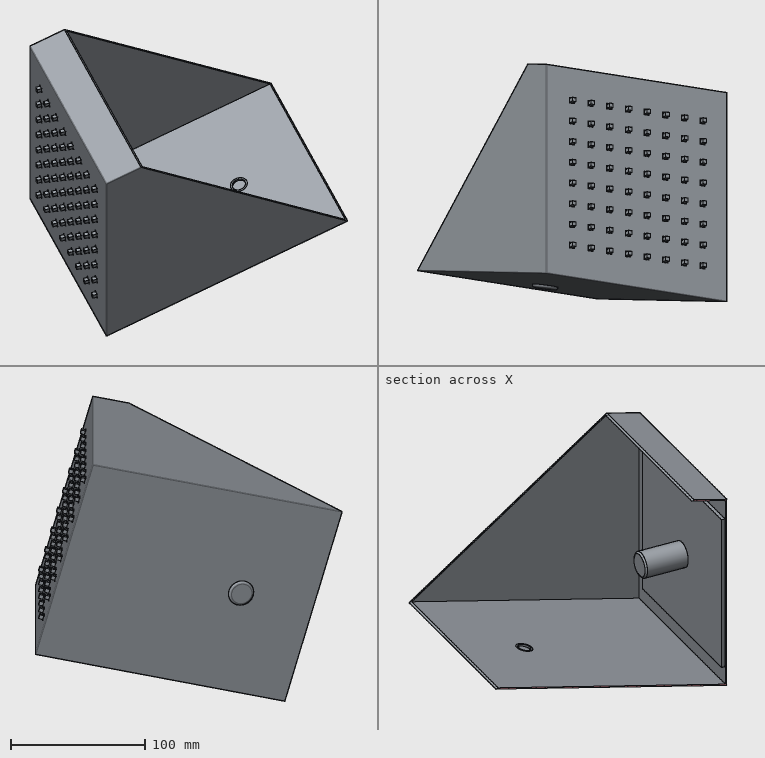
import cadquery as cq
import math

width = 155.0
height = 169.0
overall_depth = 196.5
wall = 1.47
edge_radius = 0.4
nozzle_length = 3.1
housing_depth = overall_depth - nozzle_length
floor_drop = 50.0
roof_depth = 27.7
floor_slope = floor_drop / housing_depth
slope_stretch = math.hypot(1, floor_slope)
corner_loss = edge_radius * (floor_slope + slope_stretch - 1)
apex_height = height + corner_loss
front_height = apex_height - roof_depth * floor_slope
sheared_depth = housing_depth + height

nozzle_count = 8
nozzle_pitch = 16.01
nozzle_hole_side = 4.1
nozzle_clearance = 0.55
nozzle_side = nozzle_hole_side - 2 * nozzle_clearance
head_centre_x = 0.5
head_centre_z = 81.0
head_side = nozzle_count * nozzle_pitch
head_thickness = 3.0
pipe_x = 1.0
pipe_diameter = 20.8
pipe_end = 39.9
pipe_chamfer = 1.4

plug_y = 137.2
plug_diameter = 13.0
bore_diameter = 10.2
cap_diameter = 19.3
cap_thickness = 2.2
cap_fillet = 1.8


def sheared_box(inset, half_width):
    """Box sheared along the floor slope, one inset in from the floor, front and roof planes."""
    vertical_inset = inset * slope_stretch

    def sloped_edge(front_z):
        return [(y, front_z + y * floor_slope) for y in (inset, sheared_depth)]

    floor_edge = sloped_edge(vertical_inset)
    roof_edge = sloped_edge(front_height - vertical_inset)
    return (
        cq.Workplane("YZ")
        .polyline(floor_edge + roof_edge[::-1])
        .close()
        .extrude(half_width, both=True)
    )


def slanted_cut():
    """Everything behind the plane from the rear edge of the floor to the rear edge of the roof."""
    return (
        cq.Workplane("YZ")
        .polyline([
            (housing_depth, floor_drop),
            (roof_depth, apex_height),
            (roof_depth, 2 * height),
            (2 * sheared_depth, 2 * height),
            (2 * sheared_depth, floor_drop),
        ])
        .close()
        .extrude(width, both=True)
    )


def floor_disc(diameter, thickness):
    """Disc on the underside of the floor; positive thickness goes down, negative into the floor."""
    underside = cq.Plane(
        origin=(0, plug_y, plug_y * floor_slope),
        xDir=(1, 0, 0),
        normal=(0, floor_slope, -1),
    )
    return cq.Workplane(underside).circle(diameter / 2).extrude(thickness)


def nozzle_grid(side, start_y, end_y):
    """Square prisms along Y, on the nozzle grid."""
    return (
        cq.Workplane("XZ", origin=(head_centre_x, start_y, head_centre_z))
        .rarray(nozzle_pitch, nozzle_pitch, nozzle_count, nozzle_count)
        .rect(side, side)
        .extrude(start_y - end_y)
    )


def make_housing():
    block = sheared_box(0, width / 2).edges().fillet(edge_radius)
    shell = block.cut(sheared_box(wall, width / 2 - wall))
    nozzle_holes = nozzle_grid(nozzle_hole_side, wall, 0)
    plug_hole = floor_disc(plug_diameter, -wall)
    return shell.cut(slanted_cut()).cut(nozzle_holes).cut(plug_hole)


def make_spray_head():
    back_y = wall + head_thickness
    plate = cq.Workplane("XY").box(head_side, head_thickness, head_side).translate(
        (head_centre_x, wall + head_thickness / 2, head_centre_z)
    )
    nozzles = nozzle_grid(nozzle_side, wall, -nozzle_length)
    pipe = (
        cq.Workplane("XZ", origin=(pipe_x, back_y, head_centre_z))
        .circle(pipe_diameter / 2)
        .extrude(back_y - pipe_end)
        .faces(">Y")
        .chamfer(pipe_chamfer)
    )
    return plate.union(nozzles).union(pipe)


def make_plug():
    cap = floor_disc(cap_diameter, cap_thickness).faces("<Z").edges().fillet(cap_fillet)
    return cap.union(floor_disc(plug_diameter, -wall)).cut(floor_disc(bore_diameter, -wall))


housing = make_housing()
spray_head = make_spray_head()
plug = make_plug()

result = cq.Compound.makeCompound([housing.val(), spray_head.val(), plug.val()])